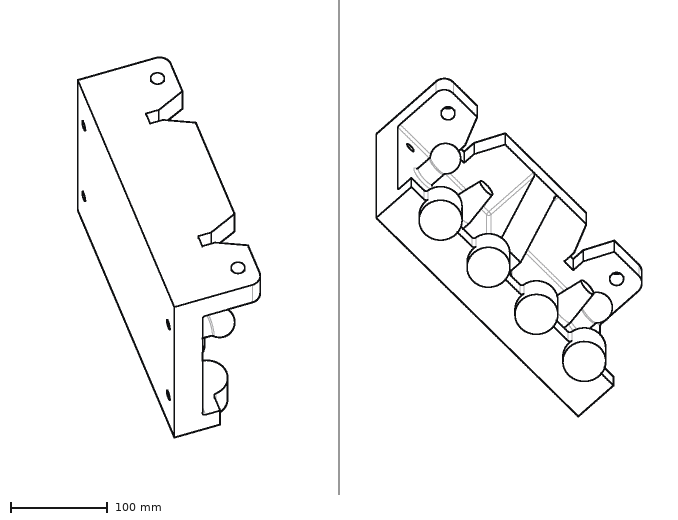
import cadquery as cq


width = 304.8
depth = 97.8
overall_height = 247.5
foot_drop = 12.8
plate_height = overall_height - foot_drop

plate_thickness = 31.0
top_ledge_thickness = 31.7
top_ledge_underside = plate_height - top_ledge_thickness
bottom_ledge_depth = 50.3
bottom_ledge_height = 25.3
top_corner_radius = 12.5
root_fillet = 3.0

gusset_thickness = top_ledge_thickness
gusset_toe_z = 101.5
gusset_toe_y = 47.0

ball_x = 114.3
ball_y = 62.8
ball_z = 127.0
ball_radius = 16.0
stem_radius = 11.3
neck_fillet = 2.5

peg_x = 76.2
peg_z = 76.2
peg_radius = 16.0
peg_tip_radius = 9.5
peg_shoulder_y = gusset_toe_y
peg_tip_y = 85.0

foot_count = 4
foot_pitch = 72.2
foot_radius = 22.3

notch_x = 82.3
notch_mouth_width = 42.0
notch_slot_width = 13.5
notch_taper_depth = 30.8
notch_depth = 45.0

mount_hole_diameter = 10.5
mount_hole_inset = 19.0
mount_hole_heights = (51.0, 177.7)
ledge_hole_diameter = 14.3
ledge_hole_side_inset = 25.3
ledge_hole_back_inset = 19.2

tolerance = 0.03


def slice_at(y):
    """Selector for whatever lies at the given Y along the full height of the plate."""
    return cq.selectors.BoxSelector((-width, y - tolerance, 0), (width, y + tolerance, plate_height))


def make_section():
    """C-shaped body with the free corners of the top ledge rounded."""
    outline = [
        (0, 0),
        (bottom_ledge_depth, 0),
        (bottom_ledge_depth, bottom_ledge_height),
        (plate_thickness, bottom_ledge_height),
        (plate_thickness, top_ledge_underside),
        (depth, top_ledge_underside),
        (depth, plate_height),
        (0, plate_height),
    ]
    section = cq.Workplane("YZ").polyline(outline).close().extrude(width / 2, both=True)
    return section.edges("|Z").edges(slice_at(depth)).fillet(top_corner_radius)


def make_gusset_block():
    """Full-depth block under the top ledge, sunk into the plate and the ledge."""
    outline = [(0, gusset_toe_z), (depth, gusset_toe_z), (depth, plate_height), (0, plate_height)]
    return cq.Workplane("YZ").polyline(outline).close().extrude(gusset_thickness / 2, both=True)


def make_gusset_slope():
    """Wedge cutter that slopes the gusset block and the fillets beside it."""
    half_width = gusset_thickness / 2 + root_fillet
    outline = [(gusset_toe_y, gusset_toe_z), (depth, gusset_toe_z), (depth, top_ledge_underside)]
    return cq.Workplane("YZ").polyline(outline).close().extrude(half_width, both=True)


def make_ball_stud(x):
    """Ball on a round stem, with a filleted neck."""
    stem = cq.Workplane("XY").circle(stem_radius).extrude(ball_y)
    ball = cq.Workplane("XY").sphere(ball_radius).translate((0, 0, ball_y))
    neck = cq.selectors.BoxSelector(
        (-ball_radius, -ball_radius, tolerance), (ball_radius, ball_radius, ball_y - tolerance)
    )
    stud = stem.union(ball).edges("%CIRCLE").edges(neck).fillet(neck_fillet)
    return stud.rotate((0, 0, 0), (1, 0, 0), -90).translate((x, 0, ball_z))


def make_peg(x):
    """Round peg with a straight root and a tapered end."""
    half_outline = [
        (0, 0),
        (peg_radius, 0),
        (peg_radius, peg_shoulder_y),
        (peg_tip_radius, peg_tip_y),
        (0, peg_tip_y),
    ]
    peg = cq.Workplane("XY").polyline(half_outline).close().revolve(360, (0, 0, 0), (0, 1, 0))
    return peg.translate((x, 0, peg_z))


def is_root_edge(edge):
    """True for the inner corners where the plate and top ledge meet what stands on them."""
    box = edge.BoundingBox()
    inside_ends = abs(edge.Center().x) < width / 2 - tolerance
    on_plate = abs(box.ymin - plate_thickness) < tolerance and box.ylen < tolerance
    beside_gusset = abs(abs(edge.Center().x) - gusset_thickness / 2) < tolerance
    under_ledge = abs(box.zmin - top_ledge_underside) < tolerance and box.zlen < tolerance
    return inside_ends and (on_plate or (under_ledge and beside_gusset))


def make_notch(x):
    """Cutter with a tapered mouth leading into a narrow parallel slot."""
    half_mouth = notch_mouth_width / 2
    half_slot = notch_slot_width / 2
    outline = [
        (x - half_mouth, depth),
        (x - half_slot, depth - notch_taper_depth),
        (x - half_slot, depth - notch_depth),
        (x + half_slot, depth - notch_depth),
        (x + half_slot, depth - notch_taper_depth),
        (x + half_mouth, depth),
    ]
    cutter = cq.Workplane("XY").workplane(offset=top_ledge_underside)
    return cutter.polyline(outline).close().extrude(top_ledge_thickness)


def make_feet(bottom_z, height):
    """Row of round feet over the given stretch of height."""
    row = cq.Workplane("XY").workplane(offset=bottom_z).center(0, bottom_ledge_depth)
    return row.rarray(foot_pitch, 3, foot_count, 1).circle(foot_radius).extrude(height)


body = make_section().union(make_gusset_block())
for side in (-1, 1):
    body = body.union(make_ball_stud(side * ball_x))
    body = body.union(make_peg(side * peg_x))
root_edges = [edge for edge in body.edges().vals() if is_root_edge(edge)]
body = body.newObject(root_edges).fillet(root_fillet)
body = body.cut(make_gusset_slope())

for side in (-1, 1):
    body = body.cut(make_notch(side * notch_x))

body = body.union(make_feet(0, bottom_ledge_height))
foot_corners = body.edges("|Z").edges(slice_at(bottom_ledge_depth)).vals()
foot_corners = [edge for edge in foot_corners if abs(edge.Center().x) < width / 2 - tolerance]
body = body.newObject(foot_corners).fillet(root_fillet)
body = body.union(make_feet(-foot_drop, foot_drop))

mount_hole_x = width / 2 - mount_hole_inset
mount_hole_points = [(side * mount_hole_x, z) for side in (-1, 1) for z in mount_hole_heights]
mount_holes = (
    cq.Workplane("XZ")
    .pushPoints(mount_hole_points)
    .circle(mount_hole_diameter / 2)
    .extrude(-plate_thickness)
)
body = body.cut(mount_holes)

ledge_hole_x = width / 2 - ledge_hole_side_inset
ledge_hole_y = depth - ledge_hole_back_inset
ledge_holes = (
    cq.Workplane("XY")
    .workplane(offset=top_ledge_underside)
    .pushPoints([(-ledge_hole_x, ledge_hole_y), (ledge_hole_x, ledge_hole_y)])
    .circle(ledge_hole_diameter / 2)
    .extrude(top_ledge_thickness)
)

result = body.cut(ledge_holes).solids()